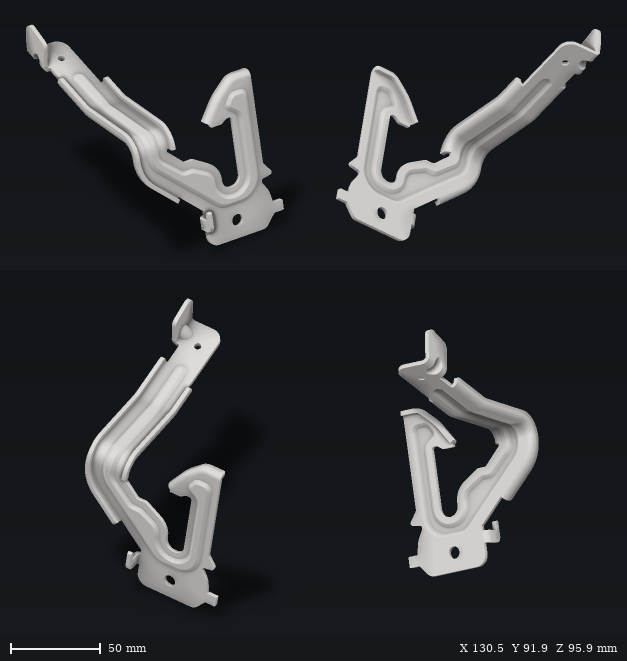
import cadquery as cq
import math

sheet = 2.5
bend_outer = 3.5
bend_inner = bend_outer - sheet
touching = 1.3e-06

front_slope = math.radians(9.3)
rear_slope = math.radians(6)
leg_lean = math.radians(14)
kink_x = 59.4
kink_z = 65.5
kink_radius = 16.6
elbow_x = 104.7
elbow_z = kink_z + (elbow_x - kink_x) * math.tan(rear_slope)
elbow_radius = 7.5
elbow_tail = 0.4

arm_front = 4.7
arm_back = 23.5
arm_corner = 7.2
arm_hole_x = 14.1
arm_hole_y = 14.2
arm_hole_diameter = 4.0
flange_height = 6.5
flange_corner = 1.8
front_flange_x = 30.3
back_flange_x = 40.5

bead_height = 1.6
bead_wall = 2.3
bead_front = 10.3
bead_back = 18.4
bead_start_x = 28.3
bead_edge = 0.8
bead_taper = math.degrees(math.atan2(bead_wall, bead_height))

tab_width = 17.7
tab_left_height = 97.5
tab_right_height = 91.3
tab_corner = 4.0
tab_bend_outer = 4.5
dimple_x = 9.8
dimple_radius = 4.7
dimple_wall = 1.0
dimple_crest_wall = 1.7
dimple_length = 18.3
dimple_reach = 7.5

leg_curve = 21.1
diagonal_top = 56.0
diagonal_slope = math.tan(math.radians(42.5))
leg_flange_end = 26.8
lug_edge = 41.8
leg_hole_y = 61.9
leg_hole_up = 10.6
leg_hole_diameter = 7.0

hook_flange_height = 6.0
hook_flange_corner = 1.6
lug_bottom = 12.4
lug_top = 19.3
finger_inner = 9.8
finger_outer = 12.5
finger_top = 24.8
lug_corner = 3.9
finger_round = 1.3

leg_up = cq.Vector(-math.sin(leg_lean), 0, math.cos(leg_lean))
leg_normal = cq.Vector(math.cos(leg_lean), 0, math.sin(leg_lean))
front_up = cq.Vector(math.sin(front_slope), 0, math.cos(front_slope))
y_axis = cq.Vector(0, 1, 0)

foot_x = elbow_x + elbow_z * math.tan(leg_lean)
leg_length = elbow_z / math.cos(leg_lean)
elbow_turn = rear_slope + math.pi / 2 - leg_lean
elbow_end = leg_length - elbow_radius * math.tan(elbow_turn / 2)
leg_plane = cq.Plane(origin=(foot_x, 0, 0), xDir=y_axis, normal=leg_normal)


def front_run_z(x):
    """Height of the front run's lower face."""
    return kink_z + (kink_x - x) * math.tan(front_slope)


def diagonal_up(y):
    """Height up the leg of its diagonal edge."""
    return diagonal_top - (y - arm_front) * diagonal_slope


def rounded(plane, corners, closed=False):
    """Straight runs through (x, y, radius) corners, each corner rounded by a tangent arc."""
    count = len(corners)
    runs = cq.Workplane(plane)
    position = None
    for i, (x, y, radius) in enumerate(corners):
        entry = leave = (x, y)
        if radius > 0:
            here = cq.Vector(x, y)
            back = (cq.Vector(*corners[i - 1][:2]) - here).normalized()
            ahead = (cq.Vector(*corners[(i + 1) % count][:2]) - here).normalized()
            half = back.getAngle(ahead) / 2
            reach = radius / math.tan(half)
            middle = here + (back + ahead).normalized() * (radius / math.sin(half) - radius)
            entry = (here + back * reach).toTuple()[:2]
            leave = (here + ahead * reach).toTuple()[:2]
        if position is None:
            runs = runs.moveTo(*entry)
        elif math.dist(position, entry) > touching:
            runs = runs.lineTo(*entry)
        if radius > 0:
            runs = runs.threePointArc(middle.toTuple()[:2], leave)
        position = leave
    return runs.close() if closed else runs.wire()


def arm_path(start_x, y, tail=elbow_tail):
    """Lower face of the arm from start_x, round the kink and the elbow, at a given Y."""
    end = leg_up * (elbow_end - tail) + cq.Vector(foot_x, 0, 0)
    corners = [
        (start_x, front_run_z(start_x), 0),
        (kink_x, kink_z, kink_radius),
        (elbow_x, elbow_z, elbow_radius),
        (end.x, end.z, 0),
    ]
    return rounded(cq.Plane(origin=(0, y, 0), xDir=(1, 0, 0), normal=(0, -1, 0)), corners)


def section_at(path, outward, up):
    """Sketch plane at the start of a path: x points outward, y points up from the sheet."""
    origin = path.val().startPoint()
    return cq.Workplane(cq.Plane(origin=origin, xDir=outward, normal=outward.cross(up)))


def flange(path, outward, up, height, outer=bend_outer):
    """Bend plus upright wall along a path that marks the edge of the flat sheet."""
    inner = outer - sheet
    diagonal = math.sqrt(0.5)
    section = (
        section_at(path, outward, up)
        .moveTo(0, 0)
        .threePointArc((outer * diagonal, outer * (1 - diagonal)), (outer, outer))
        .lineTo(outer, height)
        .lineTo(inner, height)
        .lineTo(inner, outer)
        .threePointArc((inner * diagonal, outer - inner * diagonal), (0, sheet))
        .close()
    )
    return section.sweep(path)


def drill(plane, x, y, diameter, depth):
    """Round cutter standing on a plane."""
    return cq.Workplane(plane).center(x, y).circle(diameter / 2).extrude(depth)


def arm_web():
    """Flat strip from the tab to just past the elbow, with its hole and rounded far corner."""
    path = arm_path(0, arm_front)
    width = arm_back - arm_front
    web = section_at(path, y_axis, front_up).rect(width, sheet, centered=False).sweep(path)
    web = web.faces("<X").edges(">Y").fillet(arm_corner)
    return web.cut(drill(cq.Plane.XY(), arm_hole_x, arm_hole_y, arm_hole_diameter, 2 * elbow_z))


def arm_flange(start_x, y, outward):
    """Side flange of the arm from start_x to the end of the elbow."""
    wall = flange(arm_path(start_x, y), outward, front_up, flange_height)
    return wall.faces("<X").edges(">Z").fillet(flange_corner)


def arm_bead(lift):
    """Ridge that stands a given lift above the arm's lower face, with a round sloping start."""
    half_width = (bead_back - bead_front) / 2
    middle_y = (bead_front + bead_back) / 2
    top = lift + bead_height
    path = arm_path(bead_start_x + half_width, middle_y, 0)
    half_section = [
        (0, lift, 0),
        (half_width, lift, 0),
        (half_width - bead_wall, top, bead_edge),
        (0, top, 0),
    ]
    mirrored = [(-x, y, radius) for x, y, radius in half_section[2:0:-1]]
    plane = section_at(path, y_axis, front_up).plane
    ridge = rounded(plane, half_section[1:3] + mirrored, closed=True).sweep(path)
    start = rounded(plane, half_section, closed=True).revolve(180, (0, 0), (0, 1))
    return ridge.union(start)


def leg_bead(lift):
    """Panel that stands a given lift above the leg's inner face, from the hook round to the elbow."""
    corners = [
        (bead_front, elbow_end + 2 * bead_wall, 0),
        (bead_front, 58.1, 15.7),
        (52.6, 20.0, 11.7),
        (79.1, 20.0, 13.7),
        (79.1, 85.6, 5.0),
        (68.2, 85.6, 5.9),
        (62.6, 77.6, 3.7),
        (71.0, 71.4, 5.2),
        (71.0, 26.9, 9.4),
        (51.5, 26.9, 9.4),
        (51.5, 42.4, 9.4),
        (38.0, 49.6, 5.2),
        (31.8, 49.6, 3.9),
        (bead_back, 61.2, 5.2),
        (bead_back, elbow_end + 2 * bead_wall, 0),
    ]
    panel = rounded(leg_plane, corners, closed=True).extrude(bead_height, taper=bead_taper)
    panel = panel.faces(cq.selectors.DirectionMinMaxSelector(leg_normal)).edges().fillet(bead_edge)
    above_elbow = (
        cq.Workplane(leg_plane)
        .center(0, elbow_end)
        .rect(arm_back, 3 * bead_wall, centered=False)
        .extrude(bead_height)
    )
    return panel.cut(above_elbow).translate(leg_normal * lift)


def bead(lift):
    """The arm's ridge joined to the leg's panel."""
    return arm_bead(lift).union(leg_bead(lift))


def tab():
    """Upright wall, the bend under it and the strip that joins the bend to the web."""
    straight = cq.Plane(origin=(0, tab_bend_outer, 0), xDir=(1, 0, 0), normal=(0, -1, 0))
    path = rounded(straight, [(0, front_run_z(0), 0), (tab_width, front_run_z(tab_width), 0)])
    bend = flange(path, -y_axis, front_up, tab_bend_outer + bend_inner, tab_bend_outer)
    rise = front_up * tab_bend_outer
    corners = [
        (rise.x, front_run_z(0) + rise.z, 0),
        (tab_width + rise.x, front_run_z(tab_width) + rise.z, 0),
        (tab_width + rise.x, tab_right_height, tab_corner),
        (0, tab_left_height, tab_corner),
        (0, front_run_z(0) + rise.z + tab_bend_outer, 0),
    ]
    wall = rounded(cq.Plane(origin=(0, sheet, 0), xDir=(1, 0, 0), normal=(0, -1, 0)), corners, closed=True)
    margin_width = arm_front - tab_bend_outer
    margin = section_at(path, y_axis, front_up).rect(margin_width, sheet, centered=False).sweep(path)
    return bend.union(wall.extrude(sheet)).union(margin)


def dimple(radius, reach):
    """Rod across the tab's bend at 45 degrees whose crest is at the given reach."""
    along = (front_up - y_axis).normalized()
    inward = (front_up + y_axis).normalized()
    corner = cq.Vector(dimple_x, 0, front_run_z(dimple_x))
    middle = corner + inward * (reach - radius)
    start = middle - along * (dimple_length / 2)
    return cq.Workplane(cq.Plane(origin=start, normal=along)).circle(radius).extrude(dimple_length)


def tab_inside():
    """Block that fills the angle between tab and web, starting half way through the sheet."""
    corner = cq.Vector(0, sheet / 2, front_run_z(0)) + front_up * (sheet / 2)
    angle = cq.Workplane(cq.Plane(origin=corner, xDir=y_axis, normal=y_axis.cross(front_up)))
    return angle.rect(dimple_length, dimple_length, centered=False).extrude(tab_width)


hook_edge = [
    (82.9, 90.7, 0),
    (71.6, 90.7, 5.9),
    (62.0, 82.2, 26.1),
    (53.5, 70.1, 0),
]
leg_flange_edge = [
    (arm_front, elbow_end, 0),
    (arm_front, diagonal_top, leg_curve),
    (leg_flange_end, diagonal_up(leg_flange_end), 0),
]


def leg_sheet():
    """Flat leg with its hook, throat, tooth, side tab and hole."""
    foot = [
        (lug_edge, diagonal_up(lug_edge), 0),
        (lug_edge, 0, 6.5),
        (79.3, 0, 5.2),
        (85.6, 7.3, 2.0),
    ]
    side_tab = [(91.9, 7.3, 0.7), (91.9, 13.6, 0.7), (85.7, 13.6, 0)]
    tooth = [(84.3, 20.9, 13), (79.5, 29.0, 1.6), (88.7, 30.5, 1.6), (82.9, 38.1, 2.6)]
    hook_tip = [(53.0, 68.9, 0.5), (60.3, 68.9, 2.6), (63.4, 71.1, 2.6), (67.3, 71.6, 2.0)]
    throat = [(67.3, 30.7, 5.6), (55.7, 30.7, 5.6), (55.2, 44.8, 12.8)]
    shoulder = [(39.5, 54.2, 2.6), (33.9, 54.2, 2.6), (arm_back, 64.1, 0.7), (arm_back, elbow_end, 0)]
    outline = leg_flange_edge[:2] + foot + side_tab + tooth + hook_edge + hook_tip + throat + shoulder
    plate = rounded(leg_plane, outline, closed=True).extrude(sheet)
    return plate.cut(drill(leg_plane, leg_hole_y, leg_hole_up, leg_hole_diameter, sheet))


def leg_flange():
    """Flange that carries the arm's front flange down the leg's edge."""
    wall = flange(rounded(leg_plane, leg_flange_edge), -y_axis, leg_normal, flange_height)
    return wall.faces(">Y").edges(">X").fillet(flange_corner)


def hook_flange():
    """Flange along the top of the hook, bent towards the arm."""
    outer_face = cq.Plane(
        origin=cq.Vector(foot_x, 0, 0) + leg_normal * sheet, xDir=y_axis, normal=leg_normal)
    wall = flange(rounded(outer_face, hook_edge), leg_up, -leg_normal, hook_flange_height)
    return wall.faces(">Y").edges("<X").fillet(hook_flange_corner)


def lug():
    """Small bent plate with an upright finger."""
    path = rounded(leg_plane, [(lug_edge, lug_bottom, 0), (lug_edge, lug_top, 0)])
    bend = flange(path, -y_axis, leg_normal, bend_outer + bend_inner)
    corners = [
        (bend_outer, lug_bottom, 0),
        (finger_outer, lug_bottom, lug_corner),
        (finger_outer, finger_top, finger_round),
        (finger_inner, finger_top, finger_round),
        (finger_inner, lug_top, 0),
        (bend_outer, lug_top, 0),
    ]
    face = cq.Plane(origin=(foot_x, lug_edge - bend_inner, 0), xDir=leg_normal, normal=(0, -1, 0))
    return bend.union(rounded(face, corners, closed=True).extrude(sheet))


result = (
    arm_web()
    .union(arm_flange(front_flange_x, arm_front, -y_axis))
    .union(arm_flange(back_flange_x, arm_back, y_axis))
    .union(leg_sheet())
    .union(leg_flange())
    .union(hook_flange())
    .union(lug())
    .union(tab())
)
result = (
    result
    .union(dimple(dimple_radius, dimple_reach).intersect(tab_inside()))
    .cut(dimple(dimple_radius - dimple_wall, dimple_reach - dimple_crest_wall))
)
result = result.union(bead(sheet)).cut(bead(0))